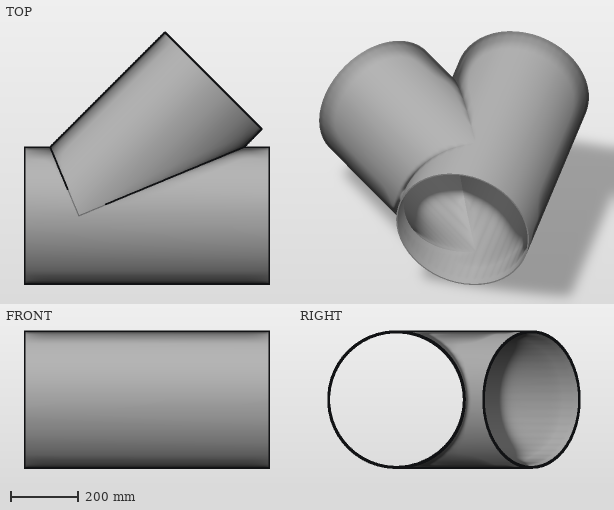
import cadquery as cq
import math

overall_width = 747
outer_diameter = 406.0
inner_diameter = 398.0
run_length = 725.0
short_leg = 160.0
branch_angle = 45

outer_radius = outer_diameter / 2
slope = math.radians(branch_angle)
branch_reach = overall_width - outer_radius
branch_length = (branch_reach - outer_radius * math.cos(slope)) / math.sin(slope)


def run_cylinder(diameter):
    """Solid cylinder over the full length of the run."""
    start = cq.Workplane("YZ").workplane(offset=-short_leg)
    return start.circle(diameter / 2).extrude(run_length)


def branch_cylinder(diameter):
    """Solid cylinder from the axis crossing to the branch end, leaning toward +X and +Y."""
    straight = cq.Workplane("YZ").circle(diameter / 2).extrude(branch_length)
    return straight.rotate((0, 0, 0), (0, 0, 1), branch_angle)


def tee(diameter):
    """Run and branch of one diameter joined together."""
    return run_cylinder(diameter).union(branch_cylinder(diameter))


result = tee(outer_diameter).cut(tee(inner_diameter))